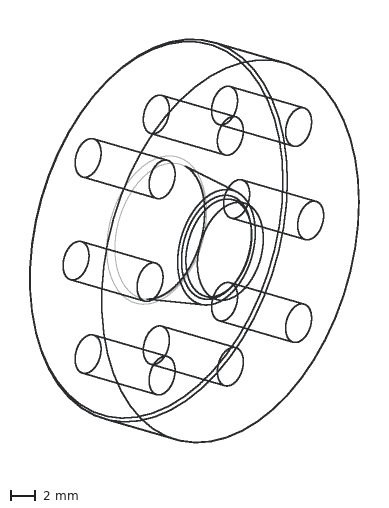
import cadquery as cq

outer_diameter = 32.0
thickness = 8.0
rim_chamfer = 0.25

socket_mouth_radius = 5.75
socket_floor_radius = 4.83
socket_depth = 6.5
mouth_fillet = 0.5
through_diameter = 8.2
through_chamfer = 0.25

bolt_diameter = 3.23
axis_bolt_radius = 10.0
diagonal_bolt_radius = 12.0
bolts_per_circle = 4


def make_disc():
    disc = cq.Workplane("YZ").circle(outer_diameter / 2).extrude(thickness)
    return disc.faces("<X").edges().chamfer(rim_chamfer)


def make_bore():
    """Revolve the half section of the bore about the X axis."""
    through_radius = through_diameter / 2
    half_section = (
        cq.Workplane("XY")
        .moveTo(0, 0)
        .lineTo(0, socket_mouth_radius)
        .lineTo(socket_depth, socket_floor_radius)
        .lineTo(socket_depth, through_radius + through_chamfer)
        .lineTo(socket_depth + through_chamfer, through_radius)
        .lineTo(thickness, through_radius)
        .lineTo(thickness, 0)
        .close()
    )
    return half_section.revolve(360, (0, 0, 0), (1, 0, 0))


def round_socket_mouth(body):
    mouth_edge = body.faces("<X").edges(cq.selectors.RadiusNthSelector(-2))
    return mouth_edge.fillet(mouth_fillet)


def make_bolt_holes(circle_radius, start_angle):
    return (
        cq.Workplane("YZ")
        .polarArray(circle_radius, start_angle, 360, bolts_per_circle)
        .circle(bolt_diameter / 2)
        .extrude(thickness)
    )


body = round_socket_mouth(make_disc().cut(make_bore()))
body = body.cut(make_bolt_holes(axis_bolt_radius, 0))
result = body.cut(make_bolt_holes(diagonal_bolt_radius, 45))